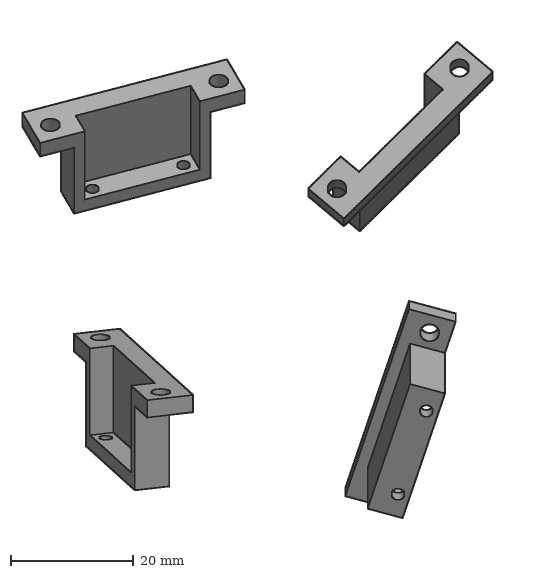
import cadquery as cq

plate_width = 8.0
plate_length = 36.0
plate_thickness = 3.0
mount_hole_diameter = 3.1
mount_hole_x = 4.5
mount_hole_spacing = 29.6

block_width = 6.0
block_length = 24.0
total_height = 17.5
block_height = total_height - plate_thickness

pocket_width = 4.1
pocket_length = 20.2
floor_thickness = 2.5
pocket_depth = total_height - floor_thickness
floor_hole_diameter = 2.1
floor_hole_x = 6.0
floor_hole_spacing = 16.0


def flush_box(width, length, bottom, height):
    """Box centred on Y, rising from bottom, with its +X face flush with the plate."""
    return (
        cq.Workplane("XY")
        .box(width, length, height, centered=(False, True, False))
        .translate((plate_width - width, 0, bottom))
    )


def hole_pair(diameter, x, spacing):
    """Two vertical cylinders through the full height, symmetric about Y = 0."""
    return (
        cq.Workplane("XY", origin=(0, 0, -block_height))
        .pushPoints([(x, -spacing / 2), (x, spacing / 2)])
        .circle(diameter / 2)
        .extrude(total_height)
    )


plate = flush_box(plate_width, plate_length, 0, plate_thickness)
block = flush_box(block_width, block_length, -block_height, block_height)
pocket = flush_box(pocket_width, pocket_length, plate_thickness - pocket_depth, pocket_depth)

result = (
    plate.union(block)
    .cut(pocket)
    .cut(hole_pair(mount_hole_diameter, mount_hole_x, mount_hole_spacing))
    .cut(hole_pair(floor_hole_diameter, floor_hole_x, floor_hole_spacing))
)